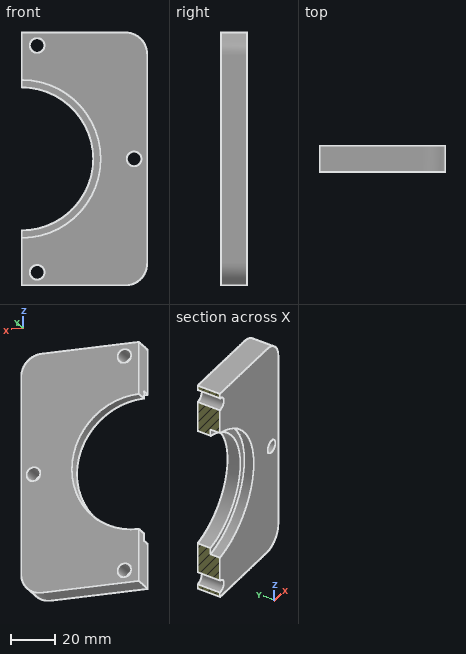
import cadquery as cq

height = 115.0
width = 57.0
thickness = 12.0
corner_radius = 10.0

bore_radius = 32.4
recess_radius = 35.9
recess_depth = 5.1

hole_diameter = 6.5
edge_margin = 6.0
left_margin = 7.0
corner_hole_z = height / 2 - edge_margin
hole_centres = [
    (left_margin, corner_hole_z),
    (left_margin, -corner_hole_z),
    (width - edge_margin, 0),
]


def cylinder_from_front(radius, depth, x=0, z=0):
    """Cylinder running from the front face into the plate along +Y."""
    return cq.Workplane("XZ").center(x, z).circle(radius).extrude(-depth)


plate = (
    cq.Workplane("XY")
    .box(width, thickness, height, centered=(False, False, True))
    .edges("|Y and >X")
    .fillet(corner_radius)
)

bore = cylinder_from_front(bore_radius, thickness)
recess = cylinder_from_front(recess_radius, recess_depth)
result = plate.cut(bore).cut(recess)

for x, z in hole_centres:
    result = result.cut(cylinder_from_front(hole_diameter / 2, thickness, x, z))